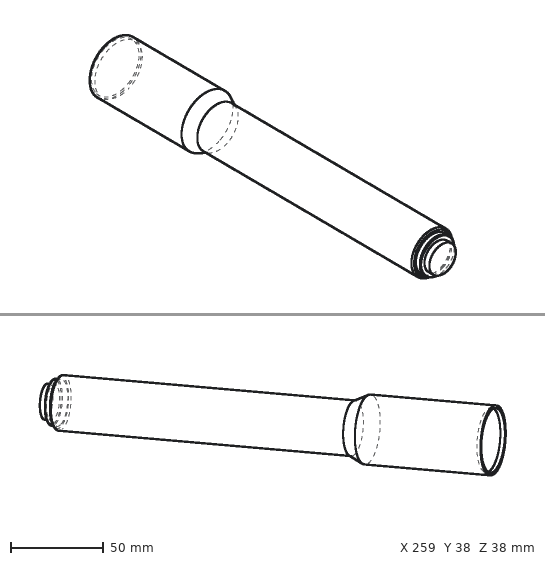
import cadquery as cq

total_length = 259.0
head_length = 72.8
taper_length = 8.3
neck_length = 4.0
collar_length = 3.5
body_end = total_length - neck_length - collar_length

head_diameter = 38.0
body_diameter = 30.3
collar_diameter = 25.6
neck_diameter = 19.7

body_chamfer = 1.0
collar_chamfer = 0.5
recess_diameter = 35.2
recess_depth = 2.5


def cylinder(start, length, diameter):
    """Solid cylinder along +X, starting at the given X position."""
    return cq.Workplane("YZ", origin=(start, 0, 0)).circle(diameter / 2).extrude(length)


def tapered_head():
    """Wide head with a cone narrowing to the body diameter."""
    taper_end = head_length + taper_length
    return (
        cq.Workplane("XY")
        .lineTo(0, head_diameter / 2)
        .lineTo(head_length, head_diameter / 2)
        .lineTo(taper_end, body_diameter / 2)
        .lineTo(taper_end, 0)
        .close()
        .revolve(360, (0, 0, 0), (1, 0, 0))
    )


body = cylinder(0, body_end, body_diameter).faces(">X").chamfer(body_chamfer)
collar = cylinder(0, body_end + collar_length, collar_diameter).faces(">X").chamfer(collar_chamfer)
neck = cylinder(0, total_length, neck_diameter)
face_recess = cylinder(0, recess_depth, recess_diameter)

result = tapered_head().union(body).union(collar).union(neck).cut(face_recess)